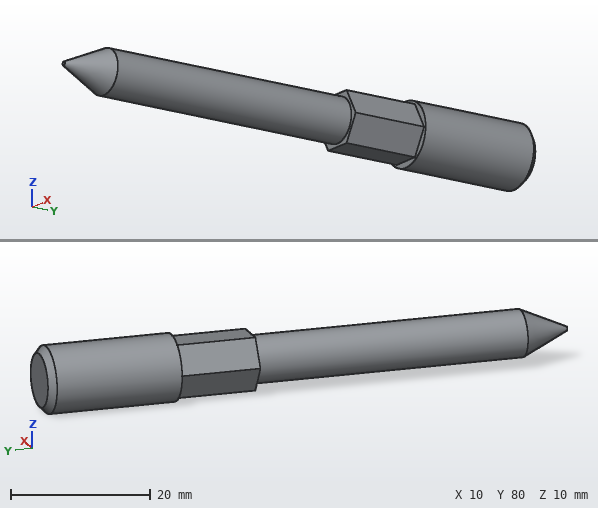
import cadquery as cq
import math

total_length = 80.0
head_diameter = 10.0
head_length = 20.0
head_chamfer = 1.0
hex_across_flats = 8.0
hex_length = 12.0
shank_diameter = 7.0
point_length = 7.0
tip_diameter = 0.6

hex_across_corners = hex_across_flats / math.cos(math.pi / 6)

head_start = total_length - head_length
hex_start = head_start - hex_length


def make_pointed_shank():
    """Round shank, tapering to a small flat tip, revolved about Y."""
    profile = (
        cq.Workplane("XY")
        .moveTo(0, 0)
        .lineTo(tip_diameter / 2, 0)
        .lineTo(shank_diameter / 2, point_length)
        .lineTo(shank_diameter / 2, hex_start)
        .lineTo(0, hex_start)
        .close()
    )
    return profile.revolve(360, (0, 0, 0), (0, 1, 0))


def make_hex():
    """Hexagonal wrench section with flats facing +Z and -Z, corners on X."""
    return (
        cq.Workplane("XZ", origin=(0, hex_start, 0))
        .polygon(6, hex_across_corners)
        .extrude(-hex_length)
    )


def make_head():
    """Cylindrical head, chamfered at its free end."""
    return (
        cq.Workplane("XZ", origin=(0, head_start, 0))
        .circle(head_diameter / 2)
        .extrude(-head_length)
        .faces(">Y")
        .chamfer(head_chamfer)
    )


result = make_pointed_shank().union(make_hex()).union(make_head())